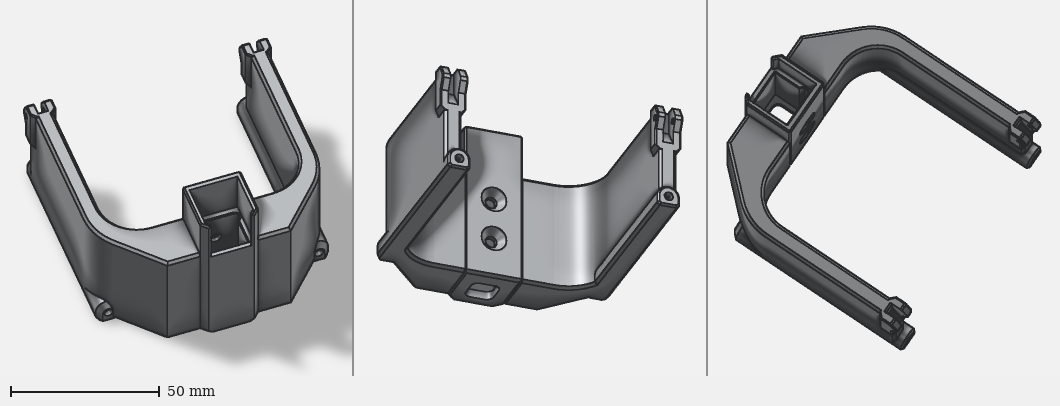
import cadquery as cq
length = 86.7
width = 86.4
tower_height = 56.02
body_height = 40.0

body_chamfer = 1.0
arm_front_x = 3.2
arm_outer_y = 41.65
arm_inner_y = 35.55
arm_mid_y = (arm_outer_y + arm_inner_y) / 2
web_inner_x = 67.0
web_outer_x = 84.5
web_outer_half_width = 22.1
shoulder_corner_x = 63.6
shoulder_radius = 20.0
inner_corner_radius = 14.0

clevis_half_thickness = width / 2 - arm_mid_y
clevis_step = clevis_half_thickness - (arm_outer_y - arm_inner_y) / 2
clevis_back_x = 9.3
clevis_bottom_z = 23.3
clevis_tip_x = 1.2
clevis_tip_top_z = 36.0
clevis_tip_bottom_z = 34.4
clevis_nose_top_x = 3.7
clevis_nose_bottom_z = 30.6
clevis_edge_chamfer = 0.45
slot_width = 3.6
slot_back_x = 7.5
slot_back_chamfer = 0.7
slot_ramp_top_z = 31.9
slot_ramp_bottom_z = 26.0
pin_diameter = 2.0
pin_x = 3.85
pin_z = 35.0

guide_radius = 4.0
guide_center_y = arm_outer_y - guide_radius
guide_center_z = 3.6
guide_end_x = 69.6
guide_front_chamfer = 0.7
guide_rear_chamfer = 1.9
rod_diameter = 3.0

tower_half_width = 10.4
tower_corner_chamfer = length - web_outer_x
tower_edge_chamfer = 0.6
channel_front_x = 69.2
channel_half_width = 8.6
channel_mouth_half_width = 7.25

pocket_front_x = 71.4
pocket_rear_x = 84.7
pocket_half_width = 6.7
flange_half_width = 8.0
flange_rear_x = 73.6
flange_corner_radius = 1.8
pocket_floor_z = 3.0
pocket_mouth_chamfer = 0.4
window_size = 10.0
window_center_x = 78.1
window_corner_radius = 2.5

screw_diameter = 4.0
screw_head_diameter = 9.0
screw_rim_flare = 0.3
screw_rim_depth = 0.5
screw_heights = (14.65, 29.65)


def mirrored(points):
    """Close a half outline given at positive Y with its mirror image."""
    return points + [(x, -y) for x, y in reversed(points)]


def prism(points, z_bottom, z_top):
    return cq.Workplane("XY").workplane(offset=z_bottom).polyline(points).close().extrude(z_top - z_bottom)


def both_sides(shape):
    return shape.union(shape.mirror("XZ"))


def vertical_edges_at(x, y):
    """Select the vertical edges standing at (x, y) and (x, -y)."""
    reach = 0.1
    low = cq.selectors.BoxSelector((x - reach, -y - reach, -reach), (x + reach, -y + reach, tower_height))
    high = cq.selectors.BoxSelector((x - reach, y - reach, -reach), (x + reach, y + reach, tower_height))
    return low + high


def make_body():
    outer = mirrored([
        (arm_front_x, arm_outer_y),
        (shoulder_corner_x, arm_outer_y),
        (web_outer_x, web_outer_half_width),
    ])
    inner = mirrored([(0, arm_inner_y), (web_inner_x, arm_inner_y)])
    block = prism(outer, 0, body_height)
    block = block.edges(vertical_edges_at(shoulder_corner_x, arm_outer_y)).fillet(shoulder_radius)
    gap = prism(inner, 0, body_height).edges("|Z and >X").fillet(inner_corner_radius)
    body = block.cut(gap)
    return body.faces("<X or <Z or >Z").chamfer(body_chamfer)


def make_clevis():
    """Hinge ear of the +Y arm and the slot that forks it."""
    outline = [
        (clevis_back_x, clevis_bottom_z),
        (arm_front_x, clevis_bottom_z),
        (arm_front_x, clevis_nose_bottom_z),
        (clevis_tip_x, clevis_tip_bottom_z),
        (clevis_tip_x, clevis_tip_top_z),
        (clevis_nose_top_x, body_height),
        (clevis_back_x, body_height),
    ]
    ear = (
        cq.Workplane("XZ").polyline(outline).close()
        .extrude(clevis_half_thickness, both=True)
    )
    ear = ear.faces(">X or <Z").edges("(>Y or <Y)").chamfer(clevis_step)
    ear = ear.faces(">Z").edges("not >X").chamfer(clevis_edge_chamfer)
    ear = ear.faces(">Y or <Y").edges("not (>X or <Z or >Z)").chamfer(clevis_edge_chamfer)

    slot_outline = [
        (0, slot_ramp_bottom_z),
        (arm_front_x, slot_ramp_bottom_z),
        (slot_back_x, slot_ramp_top_z),
        (slot_back_x, body_height - slot_back_chamfer),
        (slot_back_x + slot_back_chamfer, body_height),
        (0, body_height),
    ]
    slot = cq.Workplane("XZ").polyline(slot_outline).close().extrude(slot_width / 2, both=True)
    return ear.translate((0, arm_mid_y, 0)), slot.translate((0, arm_mid_y, 0))


def make_pin_hole():
    """Pin bore through the fork of the -Y arm only."""
    return (
        cq.Workplane("XZ", origin=(pin_x, -arm_mid_y, pin_z))
        .circle(pin_diameter / 2).extrude(clevis_half_thickness, both=True)
    )


def make_guide():
    """Round-topped rail of the +Y arm that carries the rod."""
    side = guide_radius
    rail = (
        cq.Workplane("YZ", origin=(0, guide_center_y, 0))
        .moveTo(-side, guide_center_z)
        .threePointArc((0, guide_center_z + side), (side, guide_center_z))
        .lineTo(side, 0)
        .lineTo(-side, 0)
        .close()
        .extrude(guide_end_x)
    )
    rail = rail.faces(">X").edges("not <Z").chamfer(guide_rear_chamfer)
    rail = rail.faces("<Z").edges("|X").chamfer(body_chamfer)
    return rail.faces("<X").chamfer(guide_front_chamfer)


def make_rod_hole():
    return (
        cq.Workplane("YZ", origin=(0, guide_center_y, guide_center_z))
        .circle(rod_diameter / 2).extrude(length)
    )


def make_tower_block():
    outline = [
        (web_inner_x, tower_half_width),
        (length - tower_corner_chamfer, tower_half_width),
        (length, tower_half_width - tower_corner_chamfer),
    ]
    return prism(mirrored(outline), 0, tower_height)


def finish_tower(block):
    tower = block.faces("<Z").edges("not >X").chamfer(body_chamfer)
    tower = tower.edges("|Z and <X").chamfer(tower_edge_chamfer)
    return tower.faces(">Z").edges("not >X").chamfer(tower_edge_chamfer)


def make_channel():
    """Opening of the tower head: a slide with two lips at its open rear end."""
    lip_depth = channel_half_width - channel_mouth_half_width
    lip_x = web_outer_x
    outline = [
        (channel_front_x, channel_half_width),
        (lip_x, channel_half_width),
        (lip_x + lip_depth, channel_mouth_half_width),
        (length, channel_mouth_half_width),
    ]
    return prism(mirrored(outline), body_height, tower_height)


def make_pocket():
    outline = [
        (pocket_front_x, flange_half_width),
        (flange_rear_x, flange_half_width),
        (flange_rear_x + flange_half_width - pocket_half_width, pocket_half_width),
        (pocket_rear_x, pocket_half_width),
    ]
    pocket = prism(mirrored(outline), pocket_floor_z, body_height)
    flange_corners = vertical_edges_at(pocket_front_x, flange_half_width)
    pocket = pocket.edges(flange_corners).fillet(flange_corner_radius)
    mouth = (
        pocket.faces(">Z").wires().toPending()
        .offset2D(pocket_mouth_chamfer)
        .extrude(-pocket_mouth_chamfer, taper=45)
    )
    window = (
        cq.Workplane("XY", origin=(window_center_x, 0, 0))
        .rect(window_size, window_size).extrude(body_height)
        .edges("|Z").fillet(window_corner_radius)
    )
    return pocket.union(mouth).union(window)


def make_screw_holes():
    """Countersinks with a slightly flared rim, drilled from the front into the pocket."""
    rim_radius = screw_head_diameter / 2
    seat_radius = rim_radius - screw_rim_flare
    hole_radius = screw_diameter / 2
    cone_end = screw_rim_depth + seat_radius - hole_radius
    profile = [
        (0, 0),
        (0, rim_radius),
        (screw_rim_depth, seat_radius),
        (cone_end, hole_radius),
        (window_center_x - web_inner_x, hole_radius),
        (window_center_x - web_inner_x, 0),
    ]
    hole = cq.Workplane("XZ").polyline(profile).close().revolve(360, (0, 0), (1, 0))
    lower, upper = [hole.translate((web_inner_x, 0, z)) for z in screw_heights]
    return lower.union(upper)


ear, slot = make_clevis()
tower_block = make_tower_block()
result = make_body().union(both_sides(ear)).union(both_sides(make_guide()))
result = result.cut(both_sides(slot)).cut(make_pin_hole()).cut(both_sides(make_rod_hole()))
result = result.cut(tower_block).union(finish_tower(tower_block))
result = result.cut(make_channel()).cut(make_pocket()).cut(make_screw_holes())